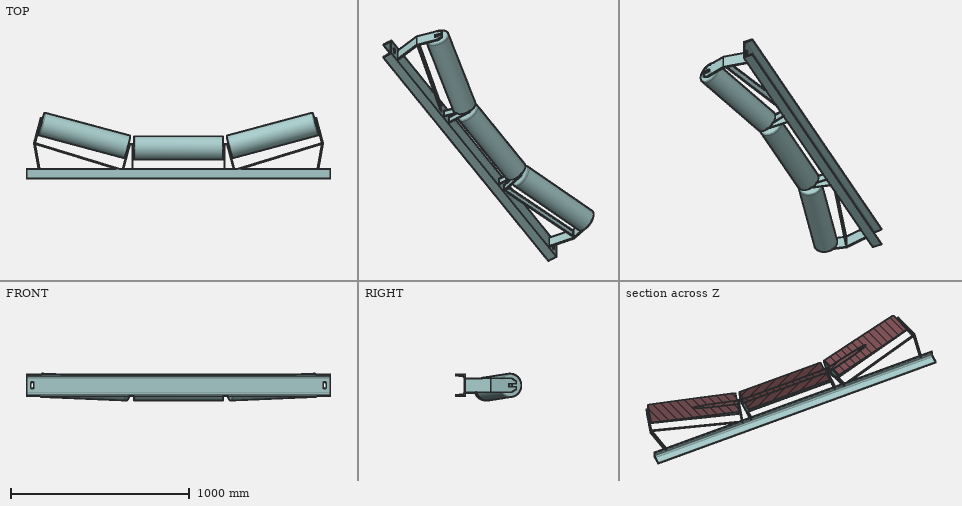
import cadquery as cq
import math

CHANNEL_LENGTH = 1700.0
CHANNEL_HEIGHT = 120.0
FLANGE_WIDTH = 55.0
WEB_THICKNESS = 7.0
FLANGE_MEAN_THICKNESS = 9.0
FLANGE_SLOPE = 0.08
FLANGE_ROOT_RADIUS = 8.0
FLANGE_TOE_RADIUS = 4.2
MOUNT_SLOT_LENGTH = 37.0
MOUNT_SLOT_WIDTH = 15.0
MOUNT_SLOT_INSET = 30.0

ROLLER_DIAMETER = 133.0
ROLLER_LENGTH = 500.0
ROLLER_RIM_RADIUS = 5.0
AXLE_DIAMETER = 20.0
AXLE_FLAT = 15.0
CENTRE_ROLLER_Y = 117.0
CENTRE_ROLLER_Z = -20.0
TROUGH_ANGLE = 15.0
WING_INNER_X = 285.0
WING_INNER_Y = 122.0
WING_RISE = 20.0
WING_TILT = math.degrees(math.asin(WING_RISE / ROLLER_LENGTH))

BRACKET_GAP = 5.0
OUTER_HEIGHT = 78.0
OUTER_THICKNESS = 7.6
OUTER_TIP_Y = 285.0
OUTER_BEND_Y = 143.0
OUTER_FOOT_X = 780.0
TIP_CHAMFER_RUN = 25.0
TIP_CHAMFER_DROP = 17.0
INNER_THICKNESS = 5.0
INNER_TOP_Y = 141.0
SLOT_OVERRUN = 2.5
INNER_HEIGHT = 50.0
BRACE_THICKNESS = 6.0
BRACE_HEIGHT = 50.0
BRACE_FOOT_X = 340.0
FOOT_EMBED = WEB_THICKNESS / 2

WING_TAN = math.tan(math.radians(TROUGH_ANGLE))
WING_COS = math.cos(math.radians(TROUGH_ANGLE))
WING_SIN = math.sin(math.radians(TROUGH_ANGLE))
WING_PLAN_LENGTH = ROLLER_LENGTH * math.cos(math.radians(WING_TILT))
WING_CENTRE = (
    -WING_INNER_X - WING_PLAN_LENGTH / 2 * WING_COS,
    WING_INNER_Y + WING_PLAN_LENGTH / 2 * WING_SIN,
    CENTRE_ROLLER_Z + WING_RISE / 2,
)
OUTER_OFFSET = WING_PLAN_LENGTH / 2 + BRACKET_GAP + OUTER_THICKNESS / 2
AXLE_LENGTH = ROLLER_LENGTH + 2 * (BRACKET_GAP + INNER_THICKNESS)


def extrude_along_x(sketch, length):
    """Extrude a YZ sketch into a bar centred on X = 0."""
    return sketch.extrude(length).translate((-length / 2, 0, 0))


def round_bar(diameter, length):
    return extrude_along_x(cq.Workplane("YZ").circle(diameter / 2), length)


def mirrored(shape):
    return shape.mirror("YZ")


def place_centre(shape):
    """Move a shape built along X at the origin onto the centre roller's axis."""
    return shape.translate((0, CENTRE_ROLLER_Y, CENTRE_ROLLER_Z))


def place_left_wing(shape):
    """Move a shape built along X at the origin onto the left wing roller's axis."""
    tilted = shape.rotate((0, 0, 0), (0, 1, 0), WING_TILT)
    troughed = tilted.rotate((0, 0, 0), (0, 0, 1), -TROUGH_ANGLE)
    return troughed.translate(WING_CENTRE)


def place_right_wing(shape):
    return mirrored(place_left_wing(shape))


ROLLER_PLACES = [place_left_wing, place_centre, place_right_wing]


def wing_strip_x(y, offset):
    """X, at a given Y, of an upright plane square to the left wing axis, offset outward from its centre."""
    on_axis_x = WING_CENTRE[0] - offset * WING_COS
    on_axis_y = WING_CENTRE[1] + offset * WING_SIN
    return on_axis_x + (y - on_axis_y) * WING_TAN


OUTER_BEND = (wing_strip_x(OUTER_BEND_Y, OUTER_OFFSET), OUTER_BEND_Y)


def ribbon(path, thickness, bottom, top):
    """Upright strip of constant thickness along a plan path, with mitred bends."""
    headings = [math.atan2(b[1] - a[1], b[0] - a[0]) for a, b in zip(path, path[1:])]
    before = headings[:1] + headings
    after = headings + headings[-1:]
    left, right = [], []
    for (x, y), heading_in, heading_out in zip(path, before, after):
        normal = (heading_in + heading_out) / 2 + math.pi / 2
        reach = thickness / 2 / math.cos((heading_out - heading_in) / 2)
        dx = reach * math.cos(normal)
        dy = reach * math.sin(normal)
        left.append((x + dx, y + dy))
        right.append((x - dx, y - dy))
    outline = cq.Workplane("XY").workplane(offset=bottom).polyline(left + right[::-1]).close()
    return outline.extrude(top - bottom)


def make_channel():
    half_height = CHANNEL_HEIGHT / 2
    slope_half_drop = FLANGE_SLOPE * FLANGE_WIDTH / 2
    toe_z = half_height - FLANGE_MEAN_THICKNESS + slope_half_drop
    root_z = toe_z - FLANGE_SLOPE * (FLANGE_WIDTH - WEB_THICKNESS)
    profile = [
        (0, -half_height),
        (0, half_height),
        (-FLANGE_WIDTH, half_height),
        (-FLANGE_WIDTH, toe_z),
        (-WEB_THICKNESS, root_z),
        (-WEB_THICKNESS, -root_z),
        (-FLANGE_WIDTH, -toe_z),
        (-FLANGE_WIDTH, -half_height),
    ]
    channel = extrude_along_x(cq.Workplane("YZ").polyline(profile).close(), CHANNEL_LENGTH)
    for side in (-1, 1):
        root = cq.selectors.NearestToPointSelector((0, -WEB_THICKNESS, side * root_z))
        channel = channel.edges(root).fillet(FLANGE_ROOT_RADIUS)
        toe = cq.selectors.NearestToPointSelector((0, -FLANGE_WIDTH, side * toe_z))
        channel = channel.edges(toe).fillet(FLANGE_TOE_RADIUS)
    slot_x = CHANNEL_LENGTH / 2 - MOUNT_SLOT_INSET
    slots = (
        cq.Workplane("XZ")
        .pushPoints([(-slot_x, 0), (slot_x, 0)])
        .slot2D(MOUNT_SLOT_LENGTH, MOUNT_SLOT_WIDTH, 90)
        .extrude(WEB_THICKNESS)
    )
    return channel.cut(slots)


def make_outer_bracket():
    """Left end bracket: bent strip with a chamfered tip."""
    path = [
        (wing_strip_x(OUTER_TIP_Y, OUTER_OFFSET), OUTER_TIP_Y),
        OUTER_BEND,
        (-OUTER_FOOT_X, -FOOT_EMBED),
    ]
    strip = ribbon(path, OUTER_THICKNESS, -OUTER_HEIGHT / 2, OUTER_HEIGHT / 2)
    for side in (-1, 1):
        edge_z = side * OUTER_HEIGHT / 2
        corner = [
            (OUTER_TIP_Y - TIP_CHAMFER_RUN, edge_z),
            (OUTER_TIP_Y + TIP_CHAMFER_RUN, edge_z),
            (OUTER_TIP_Y + TIP_CHAMFER_RUN, edge_z - 2 * side * TIP_CHAMFER_DROP),
        ]
        strip = strip.cut(cq.Workplane("YZ").polyline(corner).close().extrude(-CHANNEL_LENGTH / 2))
    return strip


def make_brace():
    """Left diagonal brace from the outer bracket's bend down to the channel."""
    slope = (OUTER_BEND[0] + BRACE_FOOT_X) / OUTER_BEND_Y
    foot = (-BRACE_FOOT_X - slope * FOOT_EMBED, -FOOT_EMBED)
    return ribbon([OUTER_BEND, foot], BRACE_THICKNESS, -BRACE_HEIGHT / 2, BRACE_HEIGHT / 2)


def make_inner_bracket():
    """Left inner bracket: two legs joined by a bridge, between the wing and centre rollers."""
    bridge_y = INNER_TOP_Y - INNER_THICKNESS / 2
    wing_offset = -(WING_PLAN_LENGTH / 2 + BRACKET_GAP + INNER_THICKNESS / 2)
    centre_leg_x = -(ROLLER_LENGTH / 2 + BRACKET_GAP + INNER_THICKNESS / 2)
    path = [
        (wing_strip_x(-FOOT_EMBED, wing_offset), -FOOT_EMBED),
        (wing_strip_x(bridge_y, wing_offset), bridge_y),
        (centre_leg_x, bridge_y),
        (centre_leg_x, -FOOT_EMBED),
    ]
    bottom = CENTRE_ROLLER_Z - INNER_HEIGHT / 2
    return ribbon(path, INNER_THICKNESS, bottom, bottom + INNER_HEIGHT)


def make_roller():
    """Tube with rounded rims, bored for its axle."""
    roller = round_bar(ROLLER_DIAMETER, ROLLER_LENGTH)
    roller = roller.faces("<X or >X").edges().fillet(ROLLER_RIM_RADIUS)
    return roller.cut(round_bar(AXLE_DIAMETER, ROLLER_LENGTH))


def make_axle():
    """Round axle with two flats on each end that sit in the bracket slots."""
    flat_slab = cq.Workplane("XY").box(AXLE_LENGTH, AXLE_DIAMETER, AXLE_FLAT)
    flatted = round_bar(AXLE_DIAMETER, AXLE_LENGTH).intersect(flat_slab)
    return flatted.union(round_bar(AXLE_DIAMETER, ROLLER_LENGTH))


def make_axle_slots():
    """Cutter for the open slots at both ends of an axle, running from the axle to the strip tips."""
    reach = OUTER_TIP_Y - OUTER_BEND_Y
    slot_length = BRACKET_GAP + OUTER_THICKNESS + SLOT_OVERRUN
    slot = cq.Workplane("XY").box(slot_length, reach, AXLE_FLAT, centered=(False, False, True))
    slot = slot.translate((ROLLER_LENGTH / 2, -AXLE_DIAMETER / 2, 0))
    return slot.union(mirrored(slot))


def make_frame():
    """Channel with all brackets and braces welded to it."""
    frame = make_channel()
    for bracket in (make_outer_bracket(), make_brace(), make_inner_bracket()):
        frame = frame.union(bracket).union(mirrored(bracket))
    for place in ROLLER_PLACES:
        frame = frame.cut(place(make_axle_slots()))
    return frame


frame = make_frame()
rollers = [place(make_roller()).val() for place in ROLLER_PLACES]
axles = [place(make_axle()).val() for place in ROLLER_PLACES]
result = cq.Compound.makeCompound([frame.val(), *rollers, *axles])